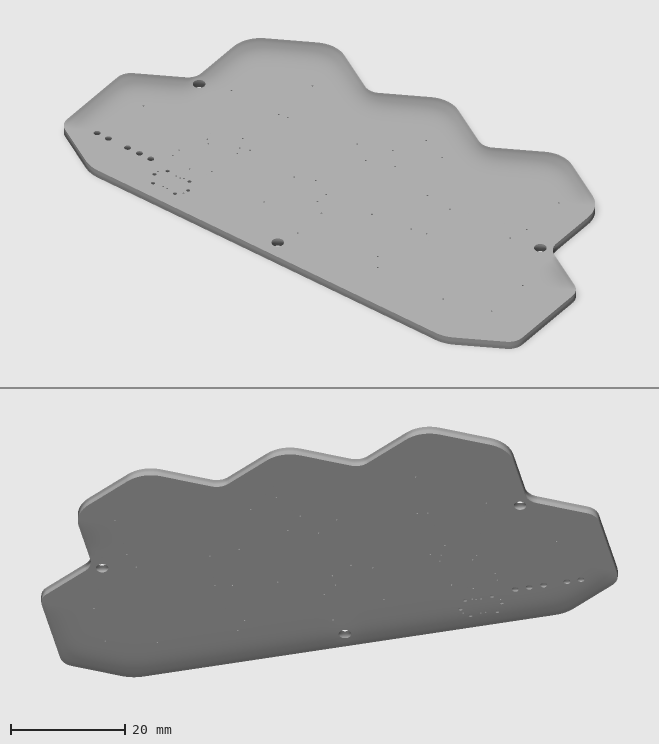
import cadquery as cq
import math

THICKNESS = 1.6
HALF_WIDTH = 50.0
UPPER_HALF_WIDTH = 39.0
PITCH = 25.0
APEX_Y = 53.2
SHOULDER_Y = 30.7
BASE_HALF_WIDTH = 38.9
SLOPE = math.tan(math.radians(30))

LOBE_RADIUS = 6.0
SIDE_RADIUS = 3.0
INNER_RADIUS = 3.0
BASE_RADIUS = 7.0
MATCH_TOLERANCE = 0.01

MOUNT_DIAMETER = 2.2
HEADER_DIAMETER = 1.2
SOCKET_DIAMETER = 0.7
VIA_DIAMETER = 0.3

MOUNT_SIDE_X = 37.5
MOUNT_SIDE_Y = 29.8
MOUNT_BASE_Y = 3.2
mount_points = [(-MOUNT_SIDE_X, MOUNT_SIDE_Y), (MOUNT_SIDE_X, MOUNT_SIDE_Y), (0, MOUNT_BASE_Y)]

HEADER_Y = 8.2
HEADER_X = (-43.5, -41.0, -36.8, -34.2, -31.7)
header_points = [(x, HEADER_Y) for x in HEADER_X]

SOCKET_X = -24.9
SOCKET_Y = 5.2
SOCKET_CORNER_DX = 2.4
SOCKET_CORNER_DY = 2.1
SOCKET_SIDE_DX = 3.7
socket_points = [
    (SOCKET_X + sx * SOCKET_CORNER_DX, SOCKET_Y + sy * SOCKET_CORNER_DY)
    for sx in (-1, 1)
    for sy in (-1, 1)
]
socket_points += [(SOCKET_X + sx * SOCKET_SIDE_DX, SOCKET_Y) for sx in (-1, 1)]

via_points = [
    (-21.4, 41.4), (3.6, 41.4), (32.5, 41.7), (8.7, 39.3), (0.6, 35.7),
    (-5.4, 33.3), (3.6, 32.4), (32.5, 32.4), (-31.9, 31.8), (-19.5, 31.8),
    (-21.3, 31.5), (-1.5, 30.6), (13.0, 29.4), (18.4, 28.8), (31.6, 28.8),
    (-22.3, 22.4), (-5.1, 20.9), (19.3, 20.9), (-19.3, 20.6), (16.3, 20.3),
    (-21.1, 20.0), (41.3, 19.7), (-8.7, 19.4), (8.4, 19.4), (-41.6, 19.1),
    (-1.3, 18.9), (-27.1, 18.5), (-20.5, 18.5), (-26.2, 17.6), (-1.3, 16.4),
    (1.2, 14.3), (-29.2, 13.1), (-21.1, 11.9), (-29.2, 11.3), (-8.7, 10.7),
    (16.3, 10.7), (41.3, 10.7), (-24.6, 10.1), (18.1, 8.3), (32.5, 8.3), (1.2, 7.4),
    (-25.3, 7.1), (-24.4, 7.1), (-23.8, 7.4), (-28.6, 6.2), (-21.4, 4.1),
    (-25.3, 3.4), (-24.4, 3.4),
]

shoulder_drop = (HALF_WIDTH - UPPER_HALF_WIDTH) * SLOPE
side_top_y = SHOULDER_Y - shoulder_drop
side_base_y = (HALF_WIDTH - BASE_HALF_WIDTH) * SLOPE
lobe_side_y = APEX_Y - (UPPER_HALF_WIDTH - PITCH) * SLOPE
valley_y = APEX_Y - PITCH / 2 * SLOPE

right_half = [
    (BASE_HALF_WIDTH, 0, BASE_RADIUS),
    (HALF_WIDTH, side_base_y, SIDE_RADIUS),
    (HALF_WIDTH, side_top_y, SIDE_RADIUS),
    (UPPER_HALF_WIDTH, SHOULDER_Y, INNER_RADIUS),
    (UPPER_HALF_WIDTH, lobe_side_y, LOBE_RADIUS),
    (PITCH, APEX_Y, LOBE_RADIUS),
    (PITCH / 2, valley_y, INNER_RADIUS),
]
left_half = [(-x, y, radius) for x, y, radius in reversed(right_half)]
corners = right_half + [(0, APEX_Y, LOBE_RADIUS)] + left_half


def make_board():
    """Extrude the sharp outline, then round each upright corner with its own radius."""
    board = cq.Workplane("XY").polyline([(x, y) for x, y, _ in corners]).close().extrude(THICKNESS)
    for radius in sorted({radius for _, _, radius in corners}):
        points = [(x, y) for x, y, corner_radius in corners if corner_radius == radius]
        edges = [
            edge
            for edge in board.edges("|Z").vals()
            if any(math.dist(edge.Center().toTuple()[:2], point) < MATCH_TOLERANCE for point in points)
        ]
        board = board.newObject(edges).fillet(radius)
    return board


def drill(board, points, diameter):
    """Drill holes right through the board."""
    drills = cq.Workplane("XY").pushPoints(points).circle(diameter / 2).extrude(THICKNESS)
    return board.cut(drills)


result = make_board()
result = drill(result, mount_points, MOUNT_DIAMETER)
result = drill(result, header_points, HEADER_DIAMETER)
result = drill(result, socket_points, SOCKET_DIAMETER)
result = drill(result, via_points, VIA_DIAMETER)